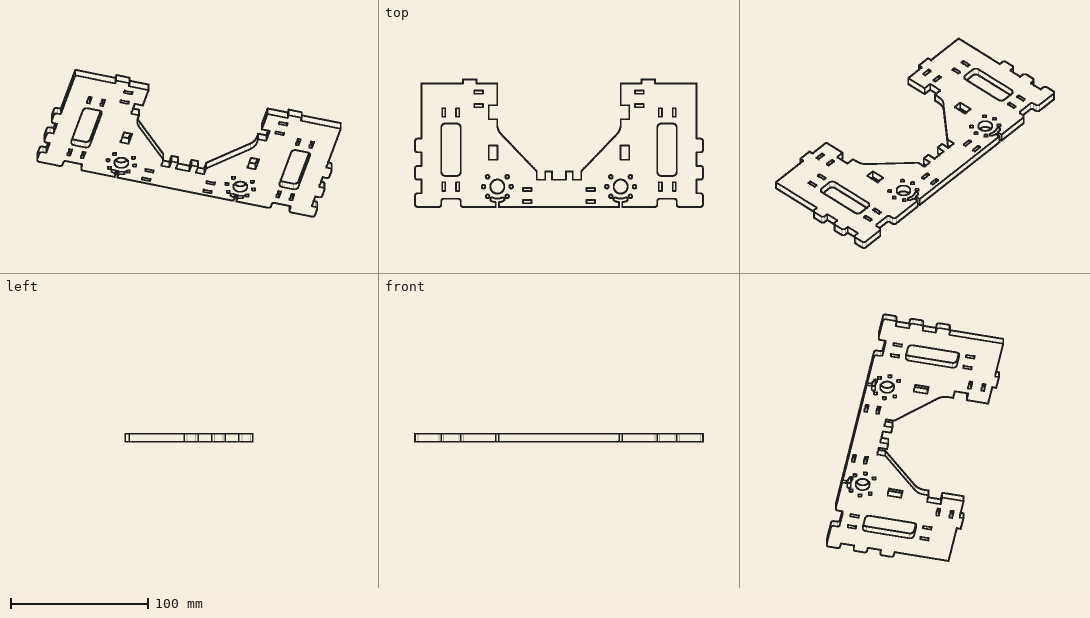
import cadquery as cq
import math

length = 210.0
thickness = 6.0
half_length = length / 2
body_top = 90.0

side_tab_depth = 4.6
tab_width = 10.0
side_tab_pitch = 20.0
side_tab_count = 3
tab_round = 1.9
body_half = half_length - side_tab_depth

top_tab_height = 3.0
top_tab_x = 65.0

arm_inner_x = 45.0
flank_foot_x = 16.2
flank_foot_y = 26.0
flank_top_y = 56.0
flank_round = 10.5
bridge_top = 20.0

tooth_width = 5.0
tooth_x = 7.5

joint_depth = thickness
joint_notch_y = 69.0
joint_hole_y = 39.7
joint_x = arm_inner_x + joint_depth / 2

window_x = 78.8
window_width = 14.0
window_height = 38.0
window_y = 41.8
window_round = 3.0
foot_notch_height = 5.9
foot_notch_round = 1.5

slot_length = 6.0
slot_width = 2.0
upright_slot_x = (74.0, 84.0)
upright_slot_y = (15.0, 68.9)
arm_slot_x = 58.5
arm_slot_y = (74.0, 83.8)
bridge_slot_x = 23.0
bridge_slot_y = (4.0, 12.8)

motor_x = 45.0
motor_y = 15.0
shaft_diameter = 10.0
screw_diameter = 2.5
screw_circle_radius = 10.0
screw_angles = (-45, 0, 45, 135, 180, 225)
arc_slot_width = 2.5
arc_slot_half_angle = math.radians(22.5)
relief_width = 2.0


def block(x, y, width, height):
    """Full-thickness block centred at (x, y) in plan."""
    return cq.Workplane("XY").center(x, y).rect(width, height).extrude(thickness)


def disc(x, y, diameter):
    return cq.Workplane("XY").center(x, y).circle(diameter / 2).extrude(thickness)


def arm_blank():
    """Right half of the plate body, with the flank of the opening."""
    outline = [
        (0, 0),
        (body_half, 0),
        (body_half, body_top),
        (arm_inner_x, body_top),
        (arm_inner_x, flank_top_y),
        (flank_foot_x, flank_foot_y),
        (flank_foot_x, bridge_top),
        (0, bridge_top),
    ]
    blank = cq.Workplane("XY").polyline(outline).close().extrude(thickness)
    flank_corner = cq.selectors.NearestToPointSelector((arm_inner_x, flank_top_y, thickness / 2))
    return blank.edges("|Z").edges(flank_corner).fillet(flank_round)


def add_tabs(half):
    for index in range(side_tab_count):
        y = index * side_tab_pitch + tab_width / 2
        tab = block(body_half, y, 2 * side_tab_depth, tab_width)
        half = half.union(tab.edges("|Z and >X").fillet(tab_round))
    top_tab = block(top_tab_x, body_top, tab_width, 2 * top_tab_height)
    tooth_height = flank_foot_y - bridge_top
    tooth = block(tooth_x, bridge_top, tooth_width, 2 * tooth_height)
    return half.union(top_tab).union(tooth)


def cut_joints(half):
    for y in (joint_notch_y, joint_hole_y):
        half = half.cut(block(joint_x, y, joint_depth, tab_width))
    return half


def cut_window(half):
    window = block(window_x, window_y, window_width, window_height)
    return half.cut(window.edges("|Z").fillet(window_round))


def cut_foot_notch(half):
    notch = block(window_x, 0, window_width, 2 * foot_notch_height)
    half = half.cut(notch.edges("|Z").fillet(foot_notch_round))
    for side in (-1, 1):
        lip = cq.selectors.NearestToPointSelector((window_x + side * window_width / 2, 0, thickness / 2))
        half = half.edges("|Z").edges(lip).fillet(tab_round)
    return half


def cut_strap_slots(half):
    for y in upright_slot_y:
        for x in upright_slot_x:
            half = half.cut(block(x, y, slot_width, slot_length))
    for y in arm_slot_y:
        half = half.cut(block(arm_slot_x, y, slot_length, slot_width))
    for y in bridge_slot_y:
        half = half.cut(block(bridge_slot_x, y, slot_length, slot_width))
    return half


def arc_slot():
    """Round-ended slot on the screw circle, below the motor shaft."""
    inner = screw_circle_radius - arc_slot_width / 2
    outer = screw_circle_radius + arc_slot_width / 2
    sine = math.sin(arc_slot_half_angle)
    cosine = math.cos(arc_slot_half_angle)
    tip_x = screw_circle_radius * sine + arc_slot_width / 2 * cosine
    tip_y = -screw_circle_radius * cosine + arc_slot_width / 2 * sine
    return (
        cq.Workplane("XY")
        .center(motor_x, motor_y)
        .moveTo(-outer * sine, -outer * cosine)
        .threePointArc((0, -outer), (outer * sine, -outer * cosine))
        .threePointArc((tip_x, tip_y), (inner * sine, -inner * cosine))
        .threePointArc((0, -inner), (-inner * sine, -inner * cosine))
        .threePointArc((-tip_x, tip_y), (-outer * sine, -outer * cosine))
        .close()
        .extrude(thickness)
    )


def cut_motor_mount(half):
    half = half.cut(disc(motor_x, motor_y, shaft_diameter))
    for angle in screw_angles:
        x = motor_x + screw_circle_radius * math.cos(math.radians(angle))
        y = motor_y + screw_circle_radius * math.sin(math.radians(angle))
        half = half.cut(disc(x, y, screw_diameter))
    relief_height = motor_y - screw_circle_radius
    relief = block(motor_x, relief_height / 2, relief_width, relief_height)
    return half.cut(arc_slot()).cut(relief)


right_half = add_tabs(arm_blank())
right_half = cut_joints(right_half)
right_half = cut_window(right_half)
right_half = cut_foot_notch(right_half)
right_half = cut_strap_slots(right_half)
right_half = cut_motor_mount(right_half)

result = right_half.union(right_half.mirror("YZ")).clean()